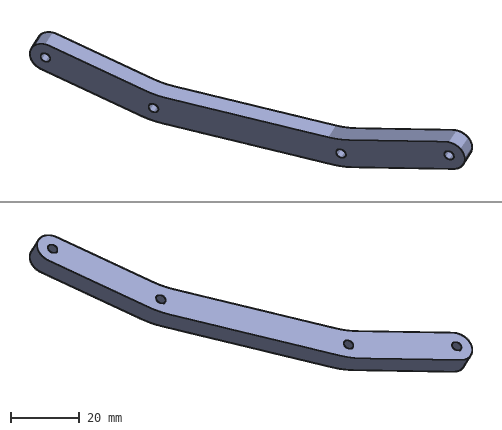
import math

import cadquery as cq

THICKNESS = 6.0
OVERALL_LENGTH = 136.08
BAR_WIDTH = 9.81
ARM_ANGLE = math.radians(15.0)
ARM_LENGTH = 35.0
INNER_BEND_RADIUS = 25.0
OUTER_BEND_RADIUS = 25.0
HOLE_DIAMETER = 3.0

half_width = BAR_WIDTH / 2
end_x = OVERALL_LENGTH / 2 - half_width
end_z = ARM_LENGTH * math.sin(ARM_ANGLE)
bend_x = end_x - ARM_LENGTH * math.cos(ARM_ANGLE)


def bend_point(radius, edge_z, angle):
    """Point on the right-hand rounding of one long edge, turned by angle from its start.

    The sharp corner of the edge lies on the line that halves the bend.
    """
    corner_x = bend_x - edge_z * math.tan(ARM_ANGLE / 2)
    start_x = corner_x - radius * math.tan(ARM_ANGLE / 2)
    return (
        start_x + radius * math.sin(angle),
        edge_z + radius * (1 - math.cos(angle)),
    )


def end_point(angle):
    """Point on the right-hand rounded end, at angle measured from +X."""
    return (
        end_x + half_width * math.cos(angle),
        end_z + half_width * math.sin(angle),
    )


def mirrored(point):
    """The same point on the left-hand half of the bar."""
    return (-point[0], point[1])


def make_bar():
    """Bar with two upturned, round-ended arms; centreline of the middle is at Z = 0."""
    quarter_turn = math.pi / 2
    lower_start = bend_point(OUTER_BEND_RADIUS, -half_width, 0)
    lower_middle = bend_point(OUTER_BEND_RADIUS, -half_width, ARM_ANGLE / 2)
    lower_finish = bend_point(OUTER_BEND_RADIUS, -half_width, ARM_ANGLE)
    upper_start = bend_point(INNER_BEND_RADIUS, half_width, 0)
    upper_middle = bend_point(INNER_BEND_RADIUS, half_width, ARM_ANGLE / 2)
    upper_finish = bend_point(INNER_BEND_RADIUS, half_width, ARM_ANGLE)
    end_lower = end_point(ARM_ANGLE - quarter_turn)
    end_tip = end_point(ARM_ANGLE)
    end_upper = end_point(ARM_ANGLE + quarter_turn)

    outline = (
        cq.Workplane("XZ")
        .moveTo(*mirrored(lower_start))
        .lineTo(*lower_start)
        .threePointArc(lower_middle, lower_finish)
        .lineTo(*end_lower)
        .threePointArc(end_tip, end_upper)
        .lineTo(*upper_finish)
        .threePointArc(upper_middle, upper_start)
        .lineTo(*mirrored(upper_start))
        .threePointArc(mirrored(upper_middle), mirrored(upper_finish))
        .lineTo(*mirrored(end_upper))
        .threePointArc(mirrored(end_tip), mirrored(end_lower))
        .lineTo(*mirrored(lower_finish))
        .threePointArc(mirrored(lower_middle), mirrored(lower_start))
        .close()
    )
    return outline.extrude(THICKNESS / 2, both=True)


def make_holes():
    """Through-hole cutters at the arm ends and at the bends."""
    right_centres = [(end_x, end_z), (bend_x, 0)]
    left_centres = [mirrored(centre) for centre in right_centres]
    return (
        cq.Workplane("XZ")
        .pushPoints(right_centres + left_centres)
        .circle(HOLE_DIAMETER / 2)
        .extrude(THICKNESS, both=True)
    )


result = make_bar().cut(make_holes())